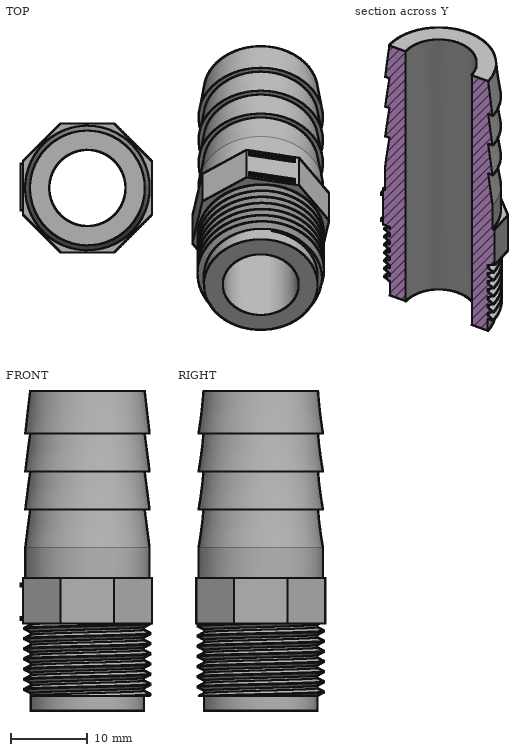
import cadquery as cq
import math

tail_top = 2.0
octagon_bottom = 11.5
octagon_top = 17.5
collar_top = 21.5
barb_pitch = 5.0
barb_count = 4
total_height = 42.1

bore_diameter = 10.0
core_diameter = 14.95
barb_tip_diameter = 15.1
barb_base_diameter = 16.4
octagon_across_flats = 17.0
octagon_sides = 8

thread_diameter = 16.662
thread_pitch = 1.337
crest_width = 0.1
thread_angle = 55.0
tooth_overlap = 0.1
crest_start = 2.17

bar_height = 0.3
bar_length = 6.15
bar_width = 0.35
bar_offset_y = 0.13
bar_levels = (12.17, 16.58)


def cylinder(diameter, bottom, top):
    return cq.Workplane("XY").workplane(offset=bottom).circle(diameter / 2).extrude(top - bottom)


def make_barb(bottom, top):
    """Cone that narrows upwards from a sharp lower edge."""
    return (
        cq.Workplane("XY")
        .workplane(offset=bottom)
        .circle(barb_base_diameter / 2)
        .workplane(offset=top - bottom)
        .circle(barb_tip_diameter / 2)
        .loft(ruled=True)
    )


def make_barbed_stem():
    stem = cylinder(barb_base_diameter, octagon_top, collar_top)
    for index in range(barb_count):
        bottom = collar_top + index * barb_pitch
        is_last = index == barb_count - 1
        top = total_height if is_last else bottom + barb_pitch
        stem = stem.union(make_barb(bottom, top))
    return stem


def make_octagon():
    """Octagonal wrench section with flats facing X and Y."""
    return (
        cq.Workplane("XY")
        .workplane(offset=octagon_bottom)
        .polygon(octagon_sides, octagon_across_flats, circumscribed=True)
        .extrude(octagon_top - octagon_bottom)
    )


def make_thread():
    """Right-handed V thread, trimmed flat at both ends of the threaded length."""
    crest_radius = thread_diameter / 2
    core_radius = core_diameter / 2
    inner_radius = core_radius - tooth_overlap
    crest_half_width = crest_width / 2
    flank_spread = (crest_radius - inner_radius) * math.tan(math.radians(thread_angle / 2))
    inner_half_width = crest_half_width + flank_spread

    helix_start = crest_start - thread_pitch
    helix_length = octagon_bottom - helix_start + thread_pitch
    helix = cq.Wire.makeHelix(thread_pitch, helix_length, core_radius)
    tooth = (
        cq.Workplane("XZ")
        .polyline([
            (inner_radius, -inner_half_width),
            (crest_radius, -crest_half_width),
            (crest_radius, crest_half_width),
            (inner_radius, inner_half_width),
        ])
        .close()
        .sweep(cq.Workplane(obj=helix), isFrenet=True)
        .translate((0, 0, helix_start))
    )
    envelope = cylinder(octagon_across_flats, tail_top, octagon_bottom)
    return tooth.intersect(envelope)


def make_bar(level):
    """Horizontal bar on the -X flat, sunk into the octagon by its own height."""
    flat_x = -octagon_across_flats / 2
    bar = cq.Workplane("XY").box(2 * bar_height, bar_length, bar_width)
    return bar.translate((flat_x, bar_offset_y, level))


body = cylinder(core_diameter, 0, octagon_bottom)
body = body.union(make_thread())
body = body.union(make_octagon())
body = body.union(make_barbed_stem())
for bar_level in bar_levels:
    body = body.union(make_bar(bar_level))

result = body.cut(cylinder(bore_diameter, 0, total_height))